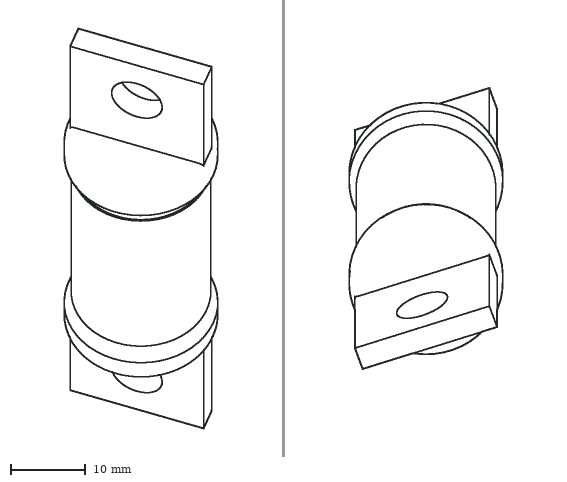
import cadquery as cq
import math

total_length = 74.95

barrel_diameter = 18.75

cap_diameter = 20.6
cap_span = 40.0
cap_height = 6.4
cap_edge_radius = 1.35
skirt_height = 2.4
skirt_end_diameter = 18.3
skirt_bulge = 0.1

blade_width = 19.05
blade_thickness = 3.2
hole_diameter = 7.2
hole_end_distance = 7.6
slot_depth = 1.0

barrel_radius = barrel_diameter / 2
cap_radius = cap_diameter / 2
skirt_end_radius = skirt_end_diameter / 2
cap_top = cap_span / 2
cap_bottom = cap_top - cap_height
skirt_top = cap_bottom + skirt_height
blade_bottom = cap_top - slot_depth
blade_top = total_length / 2
blade_length = blade_top - blade_bottom


def make_barrel():
    """Cylindrical body centred on the origin."""
    return (
        cq.Workplane("XY")
        .workplane(offset=-cap_bottom)
        .circle(barrel_radius)
        .extrude(2 * cap_bottom)
    )


def make_blade_blank():
    """Upper blade without its hole, standing on the floor of the cap slot."""
    return (
        cq.Workplane("XY")
        .workplane(offset=blade_bottom)
        .rect(blade_width, blade_thickness)
        .extrude(blade_length)
    )


def make_blade():
    """Upper blade terminal with a bolt hole through its thickness."""
    bolt_hole = (
        cq.Workplane("XZ")
        .workplane(offset=-blade_thickness / 2)
        .center(0, blade_top - hole_end_distance)
        .circle(hole_diameter / 2)
        .extrude(blade_thickness)
    )
    return make_blade_blank().cut(bolt_hole)


def make_cap():
    """Upper cap: a revolved disc with a round rim, a bowed skirt and a blade slot."""
    taper = cap_radius - skirt_end_radius
    taper_length = math.hypot(taper, skirt_height)
    bow_point = (
        (cap_radius + skirt_end_radius) / 2 + skirt_bulge * skirt_height / taper_length,
        (skirt_top + cap_bottom) / 2 - skirt_bulge * taper / taper_length,
    )
    rim_center = (cap_radius - cap_edge_radius, cap_top - cap_edge_radius)
    rim_offset = cap_edge_radius * math.sqrt(0.5)
    rim_point = (rim_center[0] + rim_offset, rim_center[1] + rim_offset)

    disc = (
        cq.Workplane("XZ")
        .moveTo(0, cap_bottom)
        .lineTo(skirt_end_radius, cap_bottom)
        .threePointArc(bow_point, (cap_radius, skirt_top))
        .lineTo(cap_radius, rim_center[1])
        .threePointArc(rim_point, (rim_center[0], cap_top))
        .lineTo(0, cap_top)
        .close()
        .revolve(360, (0, 0), (0, 1))
    )
    return disc.cut(make_blade_blank())


barrel = make_barrel()
caps = []
blades = []
for turn in (0, 180):
    caps.append(make_cap().rotate((0, 0, 0), (1, 0, 0), turn))
    blades.append(make_blade().rotate((0, 0, 0), (1, 0, 0), turn))

result = cq.Compound.makeCompound(
    [barrel.val(), *[cap.val() for cap in caps], *[blade.val() for blade in blades]]
)